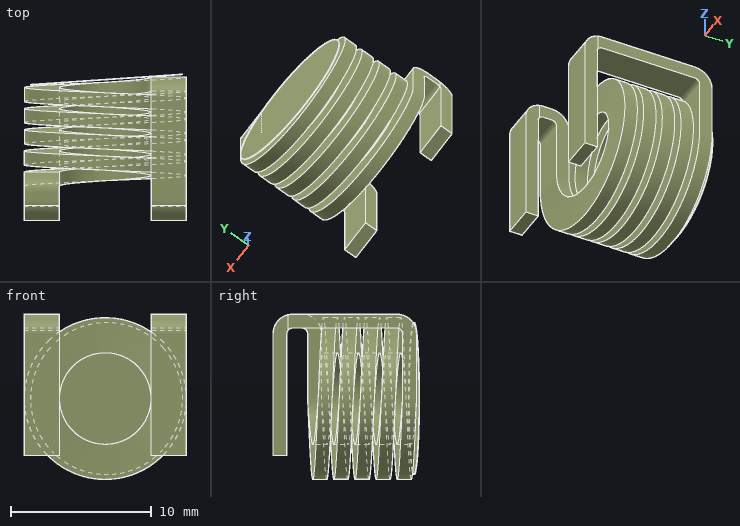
import cadquery as cq
import math


wire_thickness = 1.0
wire_width = 2.5
bend_inner_radius = 0.4
bend_outer_radius = bend_inner_radius + wire_thickness

coil_diameter = 11.5
coil_radius = coil_diameter / 2
bore_radius = coil_radius - wire_width
turns = 4.5
first_turn_rear = 3.45
last_turn_rear = 10.2
winding_advance = last_turn_rear - first_turn_rear
pitch = winding_advance / turns

total_height = 11.75
terminal_top = total_height - coil_radius
leg_bottom = -4.05
leg_joint = 1.07

disc_radius = 5.4
disc_thickness = 0.05
disc_tilt = 3.9
disc_center_x = 0.09
disc_clearance = 0.01


def make_winding():
    """Helical winding from -X down and round to +X, advancing towards +Y."""
    mean_radius = coil_radius - wire_width / 2
    path = cq.Wire.makeHelix(pitch, winding_advance, mean_radius, lefthand=True)
    winding = (
        cq.Workplane("XZ")
        .center(mean_radius, 0)
        .rect(wire_width, wire_thickness)
        .sweep(cq.Workplane(obj=path), isFrenet=True)
    )
    start_middle = first_turn_rear - wire_thickness / 2
    return (
        winding.rotate((0, 0, 0), (1, 0, 0), -90)
        .rotate((0, 0, 0), (0, 1, 0), 180)
        .translate((0, start_middle, 0))
    )


def make_terminal(left_x, rear):
    """Bent wire from the coil end up, forward over the coil and down to the leg's tip."""
    front_inner = wire_thickness
    rear_inner = rear - wire_thickness
    under_top = terminal_top - wire_thickness
    outline = [
        (0, leg_bottom),
        (0, terminal_top),
        (rear, terminal_top),
        (rear, 0),
        (rear_inner, 0),
        (rear_inner, under_top),
        (front_inner, under_top),
        (front_inner, leg_bottom),
    ]
    bent = cq.Workplane("YZ", origin=(left_x, 0, 0)).polyline(outline).close().extrude(wire_width)
    bent = bent.edges("|X and >Z").fillet(bend_outer_radius)
    corner_margin = wire_thickness / 2
    inner_corners = cq.selectors.BoxSelector(
        (left_x, front_inner - corner_margin, under_top - corner_margin),
        (left_x + wire_width, rear_inner + corner_margin, under_top + corner_margin),
    )
    return bent.edges("|X").edges(inner_corners).fillet(bend_inner_radius)


def split_at_joint(terminal):
    """Return the leg in front of the joint plane and the arm behind it."""
    joint = terminal.copyWorkplane(cq.Workplane("XZ", origin=(0, leg_joint, 0)))
    leg = joint.split(keepTop=True)
    arm = joint.split(keepBottom=True)
    return leg, arm


def make_disc():
    """Thin tilted disc whose front face just clears the rear terminal's inner edge."""
    slope = math.tan(math.radians(disc_tilt))
    center_y = last_turn_rear + disc_clearance - (bore_radius - disc_center_x) * slope
    disc = cq.Workplane("XZ").circle(disc_radius).extrude(-disc_thickness)
    return disc.rotate((0, 0, 0), (0, 0, 1), disc_tilt).translate((disc_center_x, center_y, 0))


coil = make_winding()
legs = []
for left_x, rear in [(-coil_radius, first_turn_rear), (bore_radius, last_turn_rear)]:
    leg, arm = split_at_joint(make_terminal(left_x, rear))
    coil = coil.union(arm)
    legs.append(leg.val())

disc = make_disc()

result = cq.Compound.makeCompound([coil.val(), *legs, disc.val()])